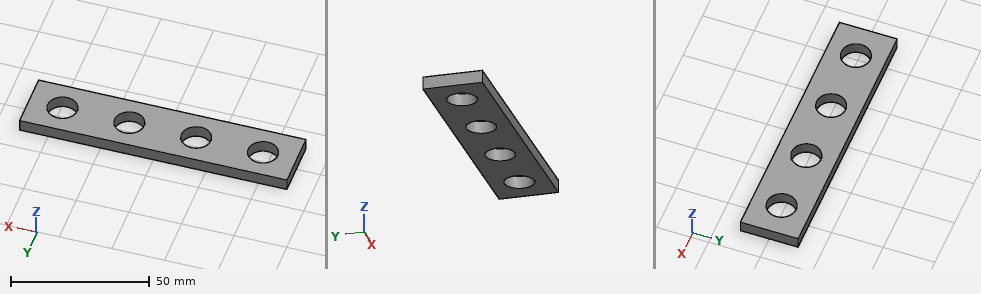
import cadquery as cq

length = 101.6
width = 22.4
thickness = 4.8

hole_count = 4
hole_diameter = 11.2
hole_pitch = length / hole_count

bar = cq.Workplane("XY").box(length, width, thickness)

result = (
    bar.faces(">Z")
    .workplane()
    .rarray(hole_pitch, width, hole_count, 1)
    .hole(hole_diameter)
)